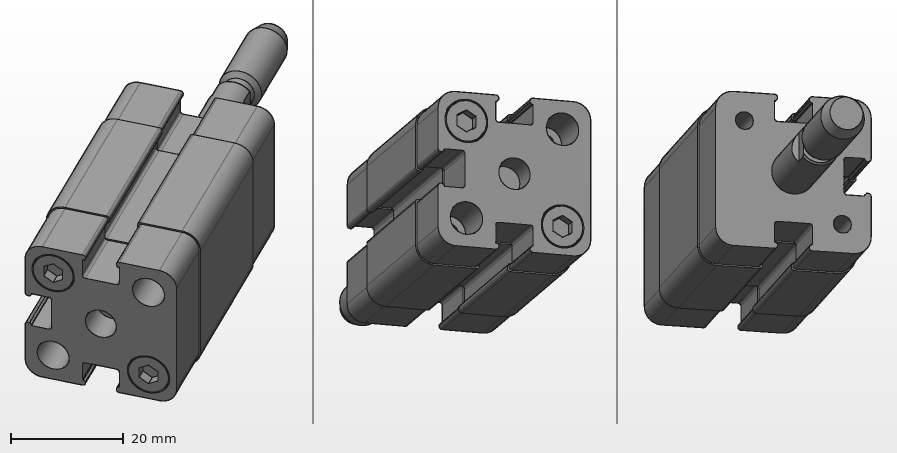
import cadquery as cq
import math

total_length = 92.5
tube_width = 29.0
cap_inset = 0.3
corner_center = 11.0
cap_length = 12.3
tube_length = 28.5
body_length = 2 * cap_length + tube_length

slot_angles = (0, 180, -90)
slot_width = 7.5
slot_floor = 9.5
slot_corner = 0.6
lip_gap = 5.3
lip_thickness = 1.5
lip_round = 0.6
lip_chamfer = 0.4

hole_offset = 9.0
through_diameter = 3.2
counterbore_diameter = 6.0
counterbore_depth = 10.0
center_hole_diameter = 5.8
center_hole_depth = 6.0
screw_recess_diameter = 8.0
screw_head_diameter = 7.5
head_gap_depth = 1.0
hex_across_flats = 3.5
hex_depth = 2.0

rod_diameter = 8.0
neck_diameter = 5.8
tip_diameter = 6.0
tip_length = 2.9
thread_length = 16.8
thread_chamfer = 0.7
shoulder_distance = 19.9
shoulder_chamfer = 0.4
flat_end_distance = 23.4
wrench_width = 5.9


def plane_at(y):
    """Workplane facing -Y at the given y; negative extrusions run towards +Y."""
    return cq.Workplane("XZ", origin=(0, y, 0))


def slot_cutter(inset, length, y):
    """Slot cutter on the top side, narrowed by a rounded lip on each side.

    The inset lowers the floor and the outer face, narrows the slot and sets the lips further apart.
    """
    half_slot = slot_width / 2 - inset
    half_gap = lip_gap / 2 + inset
    floor = slot_floor - inset
    top = tube_width / 2 - inset
    lip_bottom = tube_width / 2 - lip_thickness
    round_middle = lip_round * (1 - math.sqrt(0.5))
    profile = (
        plane_at(y)
        .moveTo(-half_slot, floor)
        .lineTo(half_slot, floor)
        .lineTo(half_slot, lip_bottom)
        .lineTo(half_gap + lip_chamfer, lip_bottom)
        .lineTo(half_gap, lip_bottom + lip_chamfer)
        .lineTo(half_gap, top - lip_round)
        .threePointArc((half_gap + round_middle, top - round_middle), (half_gap + lip_round, top))
        .lineTo(-half_gap - lip_round, top)
        .threePointArc((-half_gap - round_middle, top - round_middle), (-half_gap, top - lip_round))
        .lineTo(-half_gap, lip_bottom + lip_chamfer)
        .lineTo(-half_gap - lip_chamfer, lip_bottom)
        .lineTo(-half_slot, lip_bottom)
        .close()
    )
    return profile.extrude(-length).edges("|Y and <Z").fillet(slot_corner)


def body_section(inset, length, y):
    """Length of slotted profile, with its outline set in from the tube outline by inset."""
    width = tube_width - 2 * inset
    section = plane_at(y).rect(width, width).extrude(-length)
    section = section.edges("|Y").fillet(width / 2 - corner_center)
    cutter = slot_cutter(inset, length, y)
    for angle in slot_angles:
        section = section.cut(cutter.rotate((0, 0, 0), (0, 1, 0), angle))
    return section


def make_body():
    front_cap = body_section(cap_inset, cap_length, 0)
    tube = body_section(0, tube_length, cap_length)
    rear_cap = body_section(cap_inset, cap_length, cap_length + tube_length)
    return tube.union(front_cap).union(rear_cap)


def cut_front_features(body):
    through_holes = [(hole_offset, hole_offset), (-hole_offset, -hole_offset)]
    screws = [(-hole_offset, hole_offset), (hole_offset, -hole_offset)]
    face = plane_at(0)
    body = body.cut(face.pushPoints(through_holes).circle(through_diameter / 2).extrude(-body_length))
    body = body.cut(face.pushPoints(through_holes).circle(counterbore_diameter / 2).extrude(-counterbore_depth))
    body = body.cut(face.circle(center_hole_diameter / 2).extrude(-center_hole_depth))
    head_gap = (
        face.pushPoints(screws)
        .circle(screw_recess_diameter / 2)
        .circle(screw_head_diameter / 2)
        .extrude(-head_gap_depth)
    )
    body = body.cut(head_gap)
    socket = face.polygon(6, hex_across_flats, circumscribed=True).extrude(-hex_depth)
    for x, z in screws:
        body = body.cut(socket.translate((x, 0, z)))
    return body


def make_rod():
    rod_radius = rod_diameter / 2
    neck_radius = neck_diameter / 2
    thread_start = total_length - thread_length
    shoulder = total_length - shoulder_distance
    rod = (
        cq.Workplane("XY")
        .moveTo(0, body_length)
        .lineTo(rod_radius, body_length)
        .lineTo(rod_radius, shoulder - shoulder_chamfer)
        .lineTo(rod_radius - shoulder_chamfer, shoulder)
        .lineTo(neck_radius, shoulder)
        .lineTo(neck_radius, thread_start - thread_chamfer)
        .lineTo(rod_radius, thread_start)
        .lineTo(rod_radius, total_length - tip_length)
        .lineTo(tip_diameter / 2, total_length)
        .lineTo(0, total_length)
        .close()
        .revolve(360, (0, 0, 0), (0, 1, 0))
    )
    flat_end = total_length - flat_end_distance
    flat_x = wrench_width / 2
    runout = rod_radius - flat_x
    flat = (
        cq.Workplane("XY")
        .moveTo(flat_x, shoulder)
        .lineTo(flat_x, flat_end)
        .lineTo(rod_radius, flat_end - runout)
        .lineTo(rod_radius, shoulder)
        .close()
        .extrude(rod_radius, both=True)
    )
    return rod.cut(flat).cut(flat.mirror("YZ"))


result = cut_front_features(make_body()).union(make_rod())